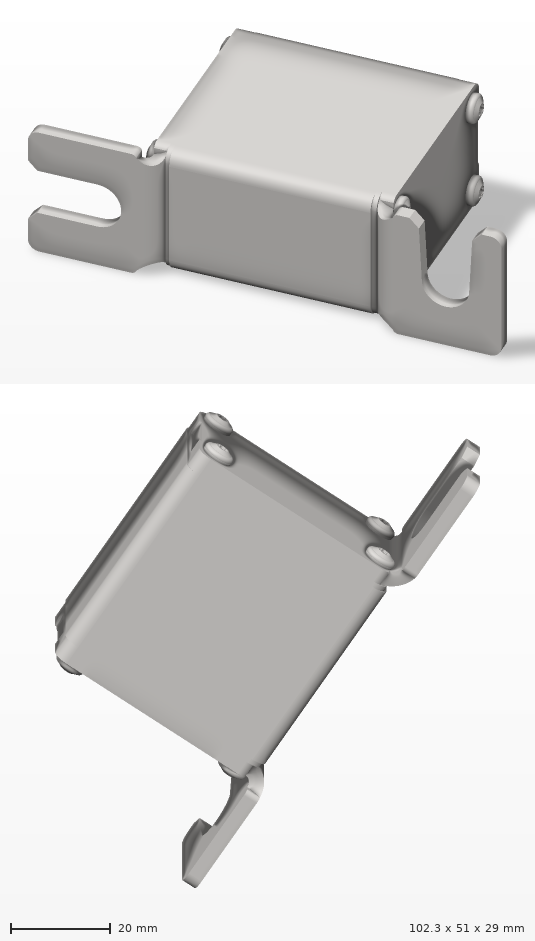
import cadquery as cq
import math

length = 102.3
depth = 51.0
height = 29.0
half_length = length / 2
half_height = height / 2

housing_front = 2.8
housing_length = 43.5
housing_radius = 3.1
half_housing = housing_length / 2

plate_thickness = 3.1
plate_outer_x = 25.9
plate_inner_x = plate_outer_x - plate_thickness
recess = 0.3
plate_back = depth - recess
plate_radius = housing_radius - recess
sheet_front = 3.4

back_notch_width = 12.3
back_notch_depth = 0.6

bend_outer_radius = 4.9
bend_inner_radius = bend_outer_radius - plate_thickness
bend_start_x = plate_inner_x + bend_outer_radius
plate_front = bend_outer_radius

scoop_radius = 4.3
scoop_depth = 2.6
plate_shoulder_length = 1.6
plate_shoulder_drop = 0.9
blade_shoulder_length = 1.1
blade_shoulder_drop = 0.7

terminal_corner_radius = 2.5
slot_radius = 5.1
mouth_chamfer = 2.0
end_slot_distance = 15.0
top_slot_distance = 12.1
top_slot_taper = 2.9

screw_y = (7.5, 46.5)
screw_z = 10.0
head_radius = 3.2
head_rim = 0.5
head_height = 2.1
head_shoulder_radius = 2.6
head_shoulder_height = 1.5
dome_bulge = 0.2
head_top_radius = 1.4
drive_core_radius = 1.0
drive_lobe_centre = 0.9
drive_lobe_radius = 0.4
drive_depth = 1.0
drive_lobes = 6


def block(x0, x1, y0, y1, z0, z1):
    return cq.Workplane("XY").box(x1 - x0, y1 - y0, z1 - z0, centered=False).translate((x0, y0, z0))


def full_height_block(x0, x1, y0, y1):
    return block(x0, x1, y0, y1, -half_height, half_height)


def housing():
    body = full_height_block(-half_housing, half_housing, housing_front, depth)
    return body.edges("|X").fillet(housing_radius)


def insulating_sheet():
    sheet = full_height_block(half_housing, plate_inner_x, sheet_front, plate_back)
    return sheet.edges("|X").fillet(plate_radius)


def end_plate():
    plate = full_height_block(plate_inner_x, plate_outer_x, plate_front, plate_back)
    plate = plate.edges("|X and >Y").fillet(plate_radius)
    notch = block(
        plate_inner_x, plate_outer_x,
        plate_back - back_notch_depth, plate_back,
        -back_notch_width / 2, back_notch_width / 2,
    )
    return plate.cut(notch)


def shoulder(run, drop):
    """Sliver above a rounded shoulder that falls from the top edge at X = run to X = 0."""
    arc_radius = (run**2 + drop**2) / (2 * drop)
    return (
        cq.Workplane("XZ")
        .moveTo(run, half_height)
        .radiusArc((0, half_height - drop), -arc_radius)
        .lineTo(0, half_height)
        .close()
        .extrude(-plate_thickness)
    )


def scoop():
    """Round cut along the diagonal of the bend, kept within the bend itself."""
    cylinder = (
        cq.Workplane("YZ")
        .center(0, half_height - scoop_depth + scoop_radius)
        .circle(scoop_radius)
        .extrude(2 * bend_outer_radius)
        .rotate((0, 0, 0), (0, 0, 1), -135)
        .translate((bend_start_x, bend_outer_radius, 0))
    )
    return cylinder.intersect(full_height_block(plate_inner_x, bend_start_x, 0, bend_outer_radius))


def relief():
    """Everything removed from the top edge beside the bend."""
    blade_shoulder = shoulder(blade_shoulder_length, blade_shoulder_drop).translate((bend_start_x, 0, 0))
    plate_shoulder = (
        shoulder(plate_shoulder_length, plate_shoulder_drop)
        .rotate((0, 0, 0), (0, 0, 1), 90)
        .translate((plate_outer_x, plate_front, 0))
    )
    return [scoop(), blade_shoulder, plate_shoulder]


def bent_terminal():
    """Quarter bend and flat blade, before its slot is cut."""
    diagonal = math.sqrt(0.5)
    outer_mid = bend_outer_radius * diagonal
    inner_mid = bend_inner_radius * diagonal
    blade = (
        cq.Workplane("XY")
        .moveTo(half_length, 0)
        .lineTo(bend_start_x, 0)
        .threePointArc(
            (bend_start_x - outer_mid, bend_outer_radius - outer_mid),
            (plate_inner_x, bend_outer_radius),
        )
        .lineTo(plate_outer_x, bend_outer_radius)
        .threePointArc(
            (bend_start_x - inner_mid, bend_outer_radius - inner_mid),
            (bend_start_x, plate_thickness),
        )
        .lineTo(half_length, plate_thickness)
        .close()
        .extrude(half_height, both=True)
    )
    return blade.edges("|Y and >X").fillet(terminal_corner_radius)


def slot(depth_to_centre, taper):
    """Open slot with its round end at the origin, opening along +X through a chamfered mouth."""
    angle = math.radians(taper)
    tangent_x = -slot_radius * math.sin(angle)
    tangent_y = slot_radius * math.cos(angle)
    chamfer_x = depth_to_centre - mouth_chamfer
    chamfer_y = tangent_y + (chamfer_x - tangent_x) * math.tan(angle)
    mouth_y = chamfer_y + mouth_chamfer
    return (
        cq.Workplane("XZ")
        .moveTo(tangent_x, tangent_y)
        .lineTo(chamfer_x, chamfer_y)
        .lineTo(depth_to_centre, mouth_y)
        .lineTo(depth_to_centre, -mouth_y)
        .lineTo(chamfer_x, -chamfer_y)
        .lineTo(tangent_x, -tangent_y)
        .threePointArc((-slot_radius, 0), (tangent_x, tangent_y))
        .close()
        .extrude(-plate_thickness)
    )


def screw_head():
    """Domed head standing on the XY plane, with a six-lobed drive recess."""
    dome_mid = (
        (head_shoulder_radius + head_radius) / 2 + dome_bulge,
        (head_rim + head_shoulder_height) / 2 + dome_bulge,
    )
    head = (
        cq.Workplane("XZ")
        .lineTo(head_radius, 0)
        .lineTo(head_radius, head_rim)
        .threePointArc(dome_mid, (head_shoulder_radius, head_shoulder_height))
        .lineTo(head_top_radius, head_height)
        .lineTo(0, head_height)
        .close()
        .revolve(360, (0, 0, 0), (0, 1, 0))
    )
    drive_floor = cq.Workplane("XY").workplane(offset=head_height - drive_depth)
    drive = drive_floor.circle(drive_core_radius).extrude(drive_depth)
    lobes = (
        drive_floor.polarArray(drive_lobe_centre, 0, 360, drive_lobes)
        .circle(drive_lobe_radius)
        .extrude(drive_depth)
    )
    return head.cut(drive).cut(lobes)


def end_assembly():
    """Sheet, plate, blank terminal and screws of the +X end."""
    end = end_plate().union(bent_terminal())
    for cut in relief():
        end = end.cut(cut).cut(cut.mirror("XY"))
    end = end.union(insulating_sheet())
    head = screw_head().rotate((0, 0, 0), (0, 1, 0), 90)
    for y in screw_y:
        for z in (-screw_z, screw_z):
            end = end.union(head.translate((plate_outer_x, y, z)))
    return end


blank_end = end_assembly()

end_slot = slot(end_slot_distance, 0).translate((half_length - end_slot_distance, 0, 0))
left_end = blank_end.cut(end_slot).mirror("YZ")

top_slot = slot(half_height, top_slot_taper).rotate((0, 0, 0), (0, 1, 0), -90)
right_end = blank_end.cut(top_slot.translate((half_length - top_slot_distance, 0, 0)))

result = housing().union(left_end).union(right_end)